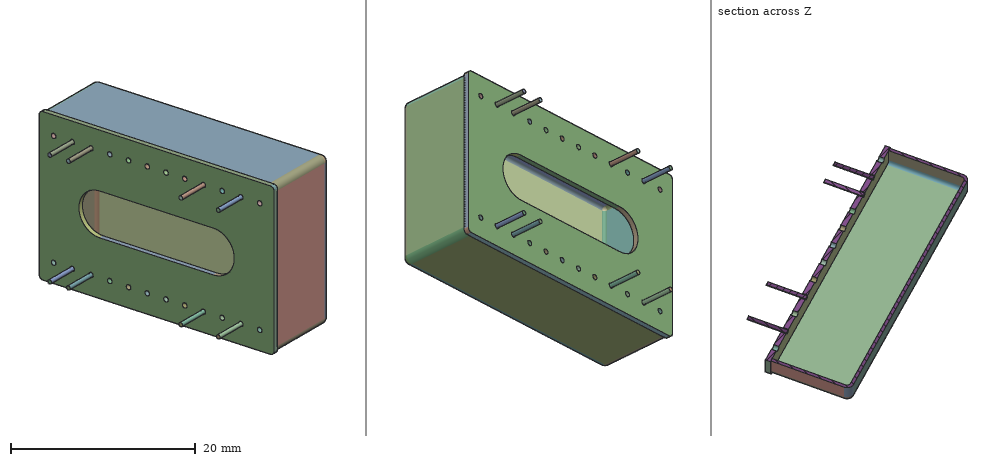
import cadquery as cq

LENGTH = 31.85
HEIGHT = 20.3
TOTAL_DEPTH = 14.2
BODY_DEPTH = 10.13
PIN_REACH = TOTAL_DEPTH - BODY_DEPTH

PLATE_THICKNESS = 0.65
PLATE_CORNER_RADIUS = 0.5
SLOT_LENGTH = 21.05
SLOT_HEIGHT = 5.65

COVER_LENGTH = 31.63
COVER_DEPTH = BODY_DEPTH - PLATE_THICKNESS
COVER_EDGE_RADIUS = 0.8
COVER_WALL = 0.4

COLUMN_COUNT = 12
COLUMN_SPAN = 27.93
COLUMN_PITCH = COLUMN_SPAN / (COLUMN_COUNT - 1)
ROW_SPACING = 15.25
ROW_HEIGHTS = (-ROW_SPACING / 2, ROW_SPACING / 2)
HOLE_DIAMETER = 0.6

PIN_DIAMETER = 0.5
ALL_COLUMNS = range(1, COLUMN_COUNT + 1)
PIN_COLUMNS = (2, 3, 9, 11)


def hole_positions(columns):
    """(X, Z) of the holes of both rows in the given columns."""
    middle_column = (COLUMN_COUNT + 1) / 2
    return [((column - middle_column) * COLUMN_PITCH, z) for z in ROW_HEIGHTS for column in columns]


def upright_plane(y):
    """Workplane parallel to the plate, at the given Y; a negative extrusion grows towards +Y."""
    return cq.Workplane("XZ", origin=(0, y, 0))


def rounded_box(length, height, depth, radius):
    """Box that grows from the back of the plate, rounded everywhere but at its open end."""
    box = upright_plane(PLATE_THICKNESS).rect(length, height).extrude(-depth)
    return box.edges("|Y or >Y").fillet(radius)


def make_plate():
    """Base plate with a central slot and a through hole at every pin position."""
    plate = upright_plane(0).rect(LENGTH, HEIGHT).extrude(-PLATE_THICKNESS)
    plate = plate.edges("|Y").fillet(PLATE_CORNER_RADIUS)
    slot = upright_plane(0).slot2D(SLOT_LENGTH, SLOT_HEIGHT).extrude(-PLATE_THICKNESS)
    holes = (
        upright_plane(0)
        .pushPoints(hole_positions(ALL_COLUMNS))
        .circle(HOLE_DIAMETER / 2)
        .extrude(-PLATE_THICKNESS)
    )
    return plate.cut(slot).cut(holes)


def make_cover():
    """Hollow cover of even wall thickness, resting on the back of the plate."""
    outside = rounded_box(COVER_LENGTH, HEIGHT, COVER_DEPTH, COVER_EDGE_RADIUS)
    cavity = rounded_box(
        COVER_LENGTH - 2 * COVER_WALL,
        HEIGHT - 2 * COVER_WALL,
        COVER_DEPTH - COVER_WALL,
        COVER_EDGE_RADIUS - COVER_WALL,
    )
    return outside.cut(cavity)


def make_pin(x, z):
    """Round pin from its tip in front of the plate to the back of the plate."""
    pin_length = PIN_REACH + PLATE_THICKNESS
    return upright_plane(-PIN_REACH).center(x, z).circle(PIN_DIAMETER / 2).extrude(-pin_length)


plate = make_plate()
cover = make_cover()
pins = [make_pin(x, z).val() for x, z in hole_positions(PIN_COLUMNS)]

result = cq.Compound.makeCompound([plate.val(), cover.val(), *pins])